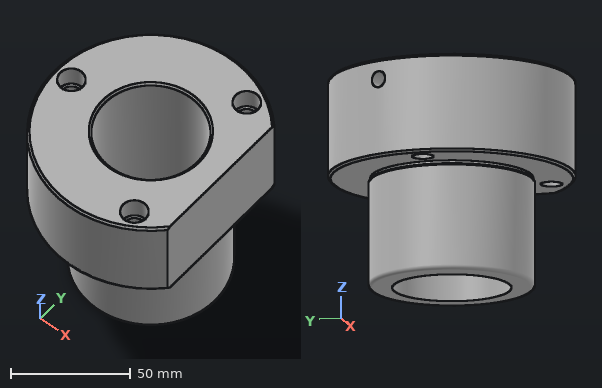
import cadquery as cq
import math

flange_diameter = 103.9
total_height = 89.0
flange_height = 42.0
flat_distance = 38.0
flange_chamfer = 1.0

sleeve_diameter = 70.0
sleeve_end_radius = 1.8
relief_depth = 0.7
relief_height = 1.2

bore_diameter = 50.0
bore_chamfer = 1.0

bolt_circle_radius = 43.0
bolt_angles = (60, 180, 300)
bolt_hole_diameter = 9.0
counterbore_diameter = 12.0
counterbore_depth = 10.4

side_hole_diameter = 6.9
side_hole_drop = 8.8
side_hole_angle = 160
side_hole_depth = 20.8

flange_radius = flange_diameter / 2
sleeve_radius = sleeve_diameter / 2
sleeve_length = total_height - flange_height


def make_flange():
    """Chamfered disc with a plain flat cut on the +X side."""
    disc = cq.Workplane("XY", origin=(0, 0, sleeve_length)).circle(flange_radius).extrude(flange_height)
    disc = disc.edges("%CIRCLE").chamfer(flange_chamfer)
    keep_box = cq.Workplane("XY").box(
        2 * flange_diameter, 2 * flange_diameter, 2 * total_height
    ).translate((flat_distance - flange_diameter, 0, total_height / 2))
    return disc.intersect(keep_box)


def make_sleeve():
    """Sleeve with a rounded lower end and a shallow relief under the flange."""
    relief_radius = sleeve_radius - relief_depth
    relief_bottom = sleeve_length - relief_height
    profile = (
        cq.Workplane("XZ")
        .lineTo(sleeve_radius - sleeve_end_radius, 0)
        .radiusArc((sleeve_radius, sleeve_end_radius), -sleeve_end_radius)
        .lineTo(sleeve_radius, relief_bottom - relief_depth)
        .lineTo(relief_radius, relief_bottom)
        .lineTo(relief_radius, sleeve_length)
        .lineTo(0, sleeve_length)
        .close()
    )
    return profile.revolve(360, (0, 0, 0), (0, 1, 0))


def make_bore():
    """Through bore, widened by a chamfer at the top."""
    bore_radius = bore_diameter / 2
    profile = (
        cq.Workplane("XZ")
        .lineTo(bore_radius, 0)
        .lineTo(bore_radius, total_height - bore_chamfer)
        .lineTo(bore_radius + bore_chamfer, total_height)
        .lineTo(0, total_height)
        .close()
    )
    return profile.revolve(360, (0, 0, 0), (0, 1, 0))


def drill_bolt_holes(body):
    """Counterbored holes through the flange, sunk from the top face."""
    centers = [
        (
            bolt_circle_radius * math.cos(math.radians(angle)),
            bolt_circle_radius * math.sin(math.radians(angle)),
        )
        for angle in bolt_angles
    ]
    top_face = cq.Workplane("XY", origin=(0, 0, total_height))
    through_holes = top_face.pushPoints(centers).circle(bolt_hole_diameter / 2).extrude(-flange_height)
    counterbores = top_face.pushPoints(centers).circle(counterbore_diameter / 2).extrude(-counterbore_depth)
    return body.cut(through_holes).cut(counterbores)


def make_side_hole():
    """Blind radial hole, made along +X and then turned into place."""
    hole_height = total_height - side_hole_drop
    hole = (
        cq.Workplane("YZ", origin=(flange_radius, 0, hole_height))
        .circle(side_hole_diameter / 2)
        .extrude(-side_hole_depth)
    )
    return hole.rotate((0, 0, 0), (0, 0, 1), side_hole_angle)


body = make_flange().union(make_sleeve()).cut(make_bore())
result = drill_bolt_holes(body).cut(make_side_hole())